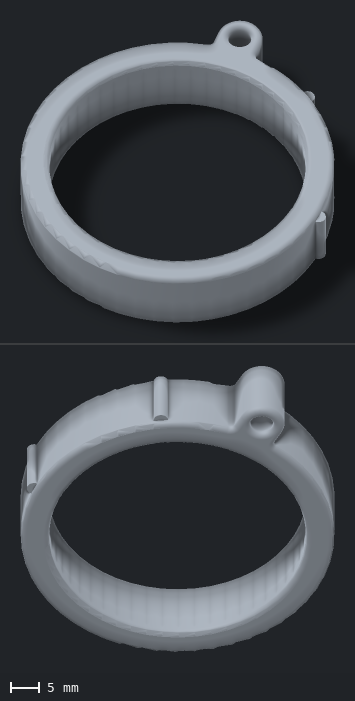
import cadquery as cq
import math

overall_length = 62.0
ring_diameter = 55.0
bore_diameter = 45.0
ring_height = 12.0
edge_round = 1.0

lug_width = 8.0
lug_hole_diameter = 4.0
lug_root_round = 1.0

insert_start_angle = -5.0
insert_end_angle = 55.0
insert_thickness = 2.0

rib_diameter = 2.55

ring_radius = ring_diameter / 2
bore_radius = bore_diameter / 2
lug_radius = lug_width / 2
lug_center_y = overall_length - ring_radius - lug_radius
insert_height = ring_height - 2 * edge_round


def polar(radius, angle):
    """Point at a radius from the ring axis and an angle in degrees from +X."""
    return (radius * math.cos(math.radians(angle)), radius * math.sin(math.radians(angle)))


def make_ring_blank():
    """Disc and lug in one, with rounded lug roots and rounded outer edges."""
    disc = cq.Workplane("XY").circle(ring_radius).extrude(ring_height)
    lug_web = (
        cq.Workplane("XY")
        .center(0, lug_center_y / 2)
        .rect(lug_width, lug_center_y)
        .extrude(ring_height)
    )
    lug_end = (
        cq.Workplane("XY")
        .center(0, lug_center_y)
        .circle(lug_radius)
        .extrude(ring_height)
    )
    blank = disc.union(lug_web).union(lug_end)

    root_y = math.sqrt(ring_radius**2 - lug_radius**2)
    for side in (-1, 1):
        root = cq.selectors.NearestToPointSelector((side * lug_radius, root_y, ring_height / 2))
        blank = blank.edges(root).fillet(lug_root_round)
    return blank.faces("<Z or >Z").edges().fillet(edge_round)


def make_rounded_hole(radius):
    """Cutter for a through hole about Z with both of its rims rounded."""
    mouth_radius = radius + edge_round
    arc_offset = edge_round * (1 - math.sqrt(0.5))
    return (
        cq.Workplane("XZ")
        .lineTo(mouth_radius, 0)
        .threePointArc((radius + arc_offset, arc_offset), (radius, edge_round))
        .lineTo(radius, ring_height - edge_round)
        .threePointArc((radius + arc_offset, ring_height - arc_offset), (mouth_radius, ring_height))
        .lineTo(0, ring_height)
        .close()
        .revolve(360, (0, 0, 0), (0, 1, 0))
    )


def make_rib(angle):
    """Round rib centred on the outer wall of the ring, as tall as the insert."""
    return (
        cq.Workplane("XY", origin=(0, 0, edge_round))
        .center(*polar(ring_radius, angle))
        .circle(rib_diameter / 2)
        .extrude(insert_height)
    )


def make_insert():
    """Curved plate that lies flush with the bore between its rounded rims."""
    back_radius = bore_radius + insert_thickness
    middle_angle = (insert_start_angle + insert_end_angle) / 2
    return (
        cq.Workplane("XY", origin=(0, 0, edge_round))
        .moveTo(*polar(bore_radius, insert_start_angle))
        .lineTo(*polar(back_radius, insert_start_angle))
        .threePointArc(polar(back_radius, middle_angle), polar(back_radius, insert_end_angle))
        .lineTo(*polar(bore_radius, insert_end_angle))
        .threePointArc(polar(bore_radius, middle_angle), polar(bore_radius, insert_start_angle))
        .close()
        .extrude(insert_height)
    )


def make_ring(insert):
    """Ring with its lug, ribs, bore and the recess that holds the insert."""
    ring = make_ring_blank()
    for angle in (insert_start_angle, insert_end_angle):
        ring = ring.union(make_rib(angle))
    lug_hole = make_rounded_hole(lug_hole_diameter / 2).translate((0, lug_center_y, 0))
    bore = make_rounded_hole(bore_radius)
    return ring.cut(bore).cut(lug_hole).cut(insert)


insert = make_insert()
ring = make_ring(insert)

result = cq.Compound.makeCompound([ring.solids().val(), insert.val()])